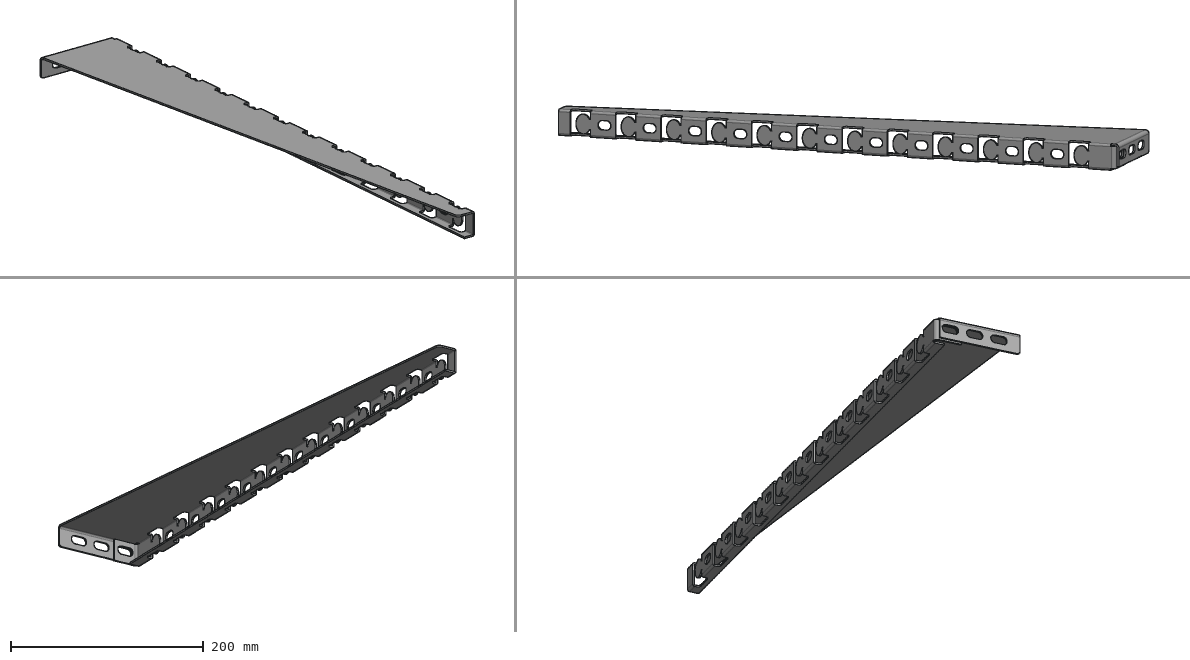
import cadquery as cq

length = 617.0
root_width = 95.5
height = 28.0
sheet = 2.0
flange_bend_radius = 2.5
plate_bend_radius = 4.0
tab_bend_radius = 4.5

tip_width = 21.5
lower_flange_width = 13.0
tip_fillet = 5.0
channel_start = 8.0

plate_height = 24.0
corner_relief = 4.5
tab_width = 29.5
tab_gap = 0.5
plate_corner_radius = 3.0
plate_slot_length = 18.5
plate_slot_height = 9.0
plate_slot_count = 3
plate_slot_pitch = 28.0
plate_slot_first = 16.0
plate_slot_drop = 12.5

pitch = 50.0
window_count = 12
window_start = 32.0
window_length = 22.0
window_depth = 8.0
window_corner_radius = 3.0
tongue_width = 16.0
tongue_height = 21.0
neck_height = 10.5

web_slot_length = 14.0
web_slot_height = 10.0
web_slot_offset = 66.5

middle = height / 2
overlap = 6.0


def box(x0, x1, y0, y1, z0, z1):
    return cq.Workplane("XY").box(x1 - x0, y1 - y0, z1 - z0, centered=False).translate((x0, y0, z0))


def channel():
    """Web with an upper flange tapering to the tip and a narrow lower flange."""
    outer = box(channel_start, length, 0, root_width, 0, height)
    inner = box(channel_start, length, 0, root_width - sheet, sheet, height - sheet)
    outer = outer.edges("|X and >Y").fillet(flange_bend_radius)
    inner = inner.edges("|X and >Y").fillet(flange_bend_radius - sheet)
    return outer.cut(inner).cut(box(0, length, 0, root_width - lower_flange_width, 0, middle))


def end_plate():
    """Plate bent down from the upper flange, stopping short of the back of the web."""
    plate_back = root_width - corner_relief
    bottom = height - plate_height
    outer = box(0, channel_start, 0, plate_back, bottom, height)
    inner = box(sheet, channel_start, 0, plate_back, bottom, height - sheet)
    outer = outer.edges("|Y and <X and >Z").fillet(plate_bend_radius)
    inner = inner.edges("|Y and <X and >Z").fillet(plate_bend_radius - sheet)
    return outer.cut(inner).edges("|X and <Y and <Z").fillet(plate_corner_radius)


def web_tab():
    """Tab bent from the end of the web, lying just inside the end plate."""
    tab_front = root_width - tab_width
    outer_x = sheet + tab_gap
    outer = box(outer_x, channel_start, tab_front, root_width, sheet, height - sheet)
    inner = box(outer_x + sheet, channel_start, tab_front, root_width - sheet, sheet, height - sheet)
    outer = outer.edges("|Z and <X and >Y").fillet(tab_bend_radius)
    inner = inner.edges("|Z and <X and >Y").fillet(tab_bend_radius - sheet)
    return outer.cut(inner)


def plan_outline():
    """Plan shape of the upper flange, tapering to the tip."""
    tip_y = root_width - tip_width
    outline = (
        cq.Workplane("XY")
        .polyline([(0, 0), (length, tip_y), (length, root_width), (0, root_width)])
        .close()
        .extrude(height)
    )
    return outline.edges(cq.selectors.NearestToPointSelector((length, tip_y, middle))).fillet(tip_fillet)


def plate_slots():
    last_slot = plate_slot_first + (plate_slot_count - 1) * plate_slot_pitch
    return (
        cq.Workplane("YZ")
        .center(root_width - (plate_slot_first + last_slot) / 2, height - plate_slot_drop)
        .rarray(plate_slot_pitch, 6, plate_slot_count, 1)
        .slot2D(plate_slot_length, plate_slot_height)
        .extrude(2 * sheet + tab_gap)
    )


def web_window(x):
    """Cutter through the web and both bends, leaving out a rounded tongue in the web."""
    cutter = box(x, x + window_length, root_width - window_depth, root_width + overlap, 0, height)
    cutter = cutter.edges("|Z and <Y").fillet(window_corner_radius)
    neck = box(x, x + tongue_width / 2, root_width - sheet, root_width,
               middle - neck_height / 2, middle + neck_height / 2)
    head = (
        cq.Workplane("XZ", origin=(x + tongue_width / 2, root_width, middle))
        .ellipse(tongue_width / 2, tongue_height / 2)
        .extrude(sheet)
    )
    return cutter.cut(neck.union(head))


def web_slot(x):
    return (
        cq.Workplane("XZ", origin=(x, root_width, middle))
        .slot2D(web_slot_length, web_slot_height)
        .extrude(sheet)
    )


body = channel().union(end_plate()).intersect(plan_outline())
result = body.union(web_tab()).cut(plate_slots())
for index in range(window_count):
    result = result.cut(web_window(window_start + index * pitch))
for index in range(window_count - 1):
    result = result.cut(web_slot(web_slot_offset + index * pitch))